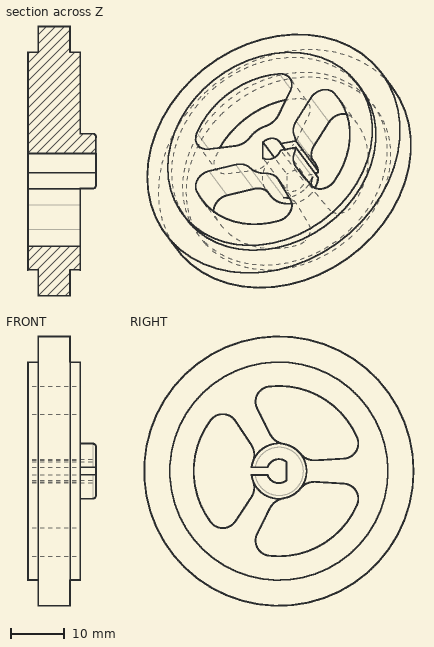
import cadquery as cq
import math

tire_radius = 24.965
tire_width = 5.9
web_radius = 20.2
web_width = 9.7
total_width = 12.63

hub_radius = 5.13
hub_edge_radius = 0.65
bore_radius = 2.2
bore_flat_offset = 1.4
slot_width = 1.4

spoke_count = 3
window_outer_radius = 15.75
spoke_half_width_at_axis = 1.6
spoke_taper_angle = 3.5
window_hub_fillet = 3.4
window_rim_fillet = 2.8


def disc(radius, start, width):
    """Solid disc on the wheel axis, from X = start to X = start + width."""
    return cq.Workplane("YZ").workplane(offset=start).circle(radius).extrude(width)


def wheel_body():
    """Web with the wider tire centred on it and the hub boss on the +X side."""
    web = disc(web_radius, 0, web_width)
    tire = disc(tire_radius, (web_width - tire_width) / 2, tire_width)
    hub = disc(hub_radius, 0, total_width).faces(">X").edges().fillet(hub_edge_radius)
    return web.union(tire).union(hub)


def spoke(angle):
    """Spoke widening outwards from the axis, turned to the given angle from +Y."""
    length = tire_radius
    tip_half_width = spoke_half_width_at_axis + length * math.tan(math.radians(spoke_taper_angle))
    outline = [
        (0, -spoke_half_width_at_axis),
        (length, -tip_half_width),
        (length, tip_half_width),
        (0, spoke_half_width_at_axis),
    ]
    solid = cq.Workplane("YZ").polyline(outline).close().extrude(web_width)
    return solid.rotate((0, 0, 0), (1, 0, 0), angle)


def distance_from_axis(edge):
    center = edge.Center()
    return math.hypot(center.y, center.z)


def windows():
    """Ring around the hub, split by the spokes, with rounded corners."""
    ring = disc(window_outer_radius, 0, web_width).cut(disc(hub_radius, 0, web_width))
    for index in range(spoke_count):
        ring = ring.cut(spoke(index * 360 / spoke_count))
    middle_radius = (hub_radius + window_outer_radius) / 2
    corners = ring.edges("|X").vals()
    hub_corners = [edge for edge in corners if distance_from_axis(edge) < middle_radius]
    rim_corners = [edge for edge in corners if distance_from_axis(edge) > middle_radius]
    rounded = ring.newObject(hub_corners).fillet(window_hub_fillet)
    return rounded.newObject(rim_corners).fillet(window_rim_fillet)


def bore():
    """D-shaped through bore with its flat on the +Y side."""
    flat_side = (
        cq.Workplane("YZ")
        .center(bore_flat_offset + bore_radius, 0)
        .rect(2 * bore_radius, 2 * bore_radius)
        .extrude(total_width)
    )
    return disc(bore_radius, 0, total_width).cut(flat_side)


def clamping_slot():
    """Slot from the bore out through the -Y side of the hub."""
    slot_length = hub_radius + slot_width
    return (
        cq.Workplane("YZ")
        .center(-slot_length / 2, 0)
        .rect(slot_length, slot_width)
        .extrude(total_width)
    )


result = wheel_body().cut(windows()).cut(bore()).cut(clamping_slot())